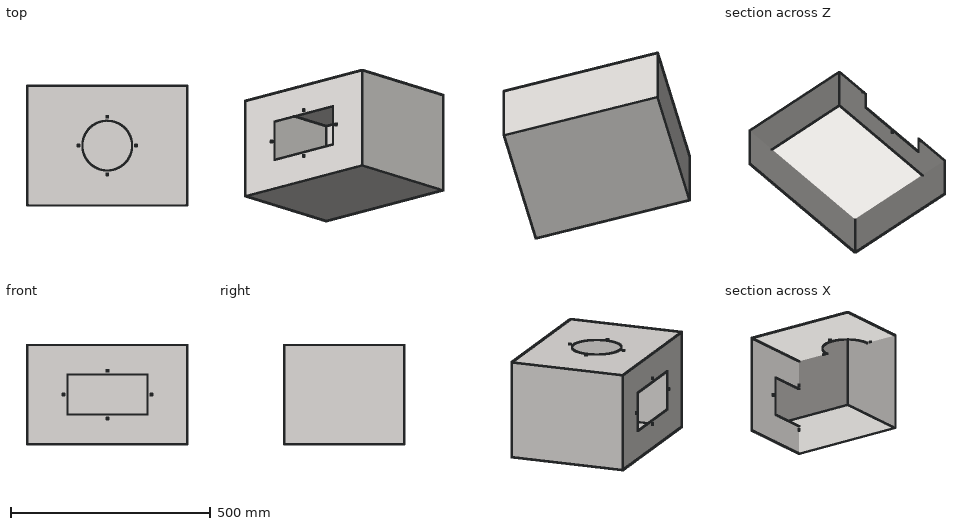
import cadquery as cq

length = 402.0
depth = 302.0
height = 250.0

sheet = 1.0
bend_radius = 2.0
corner_notch = 1.2

round_opening = 125.0
lid_screw_offset = 72.5

window_length = 200.0
window_height = window_length / 2
window_center_x = 0.6
window_screw_offset_x = 110.0
window_screw_offset_z = 60.0

screw_hole = 5.0

inside_length = length - 2 * sheet
inside_depth = depth - 2 * sheet


def cross_points(offset_a, offset_b):
    """Four points on the two axes of a sketch plane."""
    return [(offset_a, 0), (-offset_a, 0), (0, offset_b), (0, -offset_b)]


def rounded_bottom_block(size_x, size_y, fold_axis, radius):
    """Block of full height whose two bottom edges along the fold axis are rounded."""
    return (
        cq.Workplane("XY")
        .box(size_x, size_y, height)
        .edges(f"|{fold_axis} and <Z")
        .fillet(radius)
    )


def make_channel(outer_size, inner_size, fold_axis):
    """Floor with two opposite walls, bent up along the fold axis."""
    outer = rounded_bottom_block(*outer_size, fold_axis, bend_radius)
    inner = rounded_bottom_block(*inner_size, fold_axis, bend_radius - sheet)
    return outer.cut(inner.translate((0, 0, sheet)))


def make_window_cutter():
    """Window and its screw holes, through the front wall."""
    return (
        cq.Workplane("XZ", origin=(window_center_x, -inside_depth / 2, 0))
        .rect(window_length, window_height)
        .extrude(sheet)
        .pushPoints(cross_points(window_screw_offset_x, window_screw_offset_z))
        .circle(screw_hole / 2)
        .extrude(sheet)
    )


def make_tray():
    """Open box folded from one sheet, with notched corners and a window in front."""
    wall_length = length - 2 * corner_notch
    wall_depth = depth - 2 * corner_notch
    front_and_back = make_channel((wall_length, depth), (wall_length, inside_depth), "X")
    ends = make_channel((length, wall_depth), (inside_length, wall_depth), "Y")
    return front_and_back.union(ends).cut(make_window_cutter())


def make_lid():
    """Flat plate between the walls, flush with their tops."""
    return (
        cq.Workplane("XY", origin=(0, 0, height / 2 - sheet))
        .rect(inside_length, inside_depth)
        .circle(round_opening / 2)
        .pushPoints(cross_points(lid_screw_offset, lid_screw_offset))
        .circle(screw_hole / 2)
        .extrude(sheet)
    )


tray = make_tray()
lid = make_lid()

result = cq.Compound.makeCompound([tray.solids().val(), lid.val()])